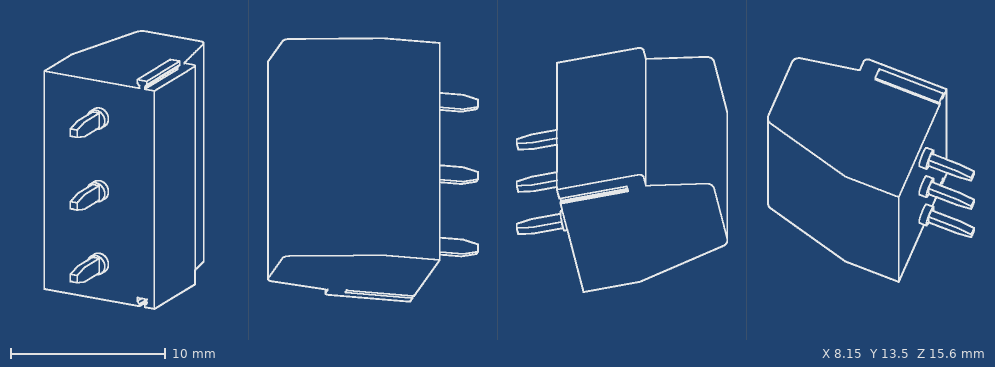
import cadquery as cq
import math


pole_count = 3
pitch = 5.0
housing_length = pole_count * pitch
housing_width = 8.15
housing_height = 10.0
left_wall_height = 3.75
left_slope_angle = math.radians(15)
shoulder_height = 5.72
shoulder_width = 0.93
right_slope_angle = math.radians(10)
top_edge_radius = 0.5
shoulder_edge_radius = 0.3

rail_length = 4.5
rail_height = 0.57
rail_head_width = 0.7
rail_neck_width = 0.4
rail_neck_height = 0.15
rail_head_start = 0.33
rail_edge_distance = 0.92

pin_offset = 0.025
pin_length = 3.5
pin_thickness = 0.5
pin_width = 1.0
pin_tip_width = 0.5
pin_taper_length = 1.0
collar_diameter = 1.3
collar_height = 0.5

left = -housing_width / 2
right = housing_width / 2


def make_housing():
    """Extrude the sloped housing outline and round its upper edges."""
    top_left = left + (housing_height - left_wall_height) * math.tan(left_slope_angle)
    shoulder_left = right - shoulder_width
    top_right = shoulder_left - (housing_height - shoulder_height) * math.tan(right_slope_angle)
    outline = [
        (left, 0),
        (right, 0),
        (right, shoulder_height),
        (shoulder_left, shoulder_height),
        (top_right, housing_height),
        (top_left, housing_height),
        (left, left_wall_height),
    ]
    housing = cq.Workplane("XY").polyline(outline).close().extrude(housing_length)
    housing = housing.faces(">Y").edges("|Z").fillet(top_edge_radius)
    shoulder_edge = cq.selectors.NearestToPointSelector((right, shoulder_height, housing_length / 2))
    return housing.edges("|Z").edges(shoulder_edge).fillet(shoulder_edge_radius)


def make_rail(base_z):
    """Make a dovetail bar that stands on the level base_z, flush with the pin face."""
    center_x = right - rail_edge_distance
    half_neck = rail_neck_width / 2
    half_head = rail_head_width / 2
    outline = [
        (-half_neck, 0),
        (half_neck, 0),
        (half_neck, rail_neck_height),
        (half_head, rail_head_start),
        (half_head, rail_height),
        (-half_head, rail_height),
        (-half_head, rail_head_start),
        (-half_neck, rail_neck_height),
    ]
    rail = cq.Workplane("XZ").polyline(outline).close().extrude(-rail_length)
    return rail.translate((center_x, 0, base_z))


def make_pin(center_z):
    """Make one tapered flat pin with the round collar at its root."""
    half_width = pin_width / 2
    half_tip = pin_tip_width / 2
    taper_start = pin_taper_length - pin_length
    outline = [
        (0, -half_width),
        (taper_start, -half_width),
        (-pin_length, -half_tip),
        (-pin_length, half_tip),
        (taper_start, half_width),
        (0, half_width),
    ]
    blade = cq.Workplane("YZ").polyline(outline).close().extrude(pin_thickness / 2, both=True)
    collar = cq.Workplane("XZ").circle(collar_diameter / 2).extrude(collar_height)
    return collar.union(blade).translate((pin_offset, 0, center_z))


result = make_housing()
result = result.cut(make_rail(0))
result = result.union(make_rail(housing_length))
for pole in range(pole_count):
    result = result.union(make_pin((pole + 0.5) * pitch))